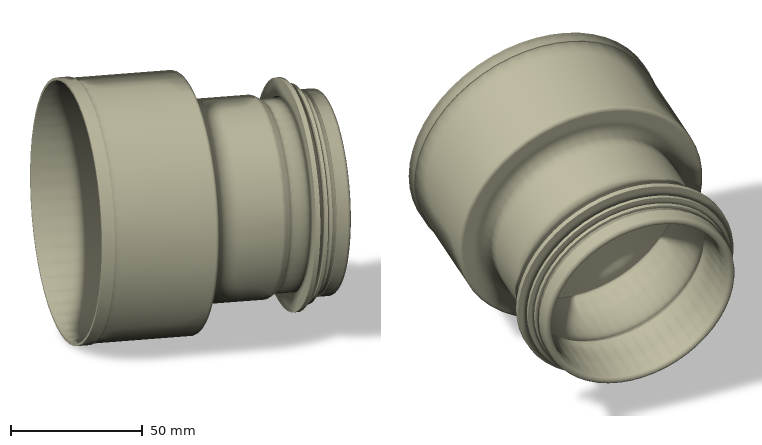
import cadquery as cq
import math

wall = 0.5
total_length = 101.5

collar_radius = 102.3 / 2
socket_radius = 101.2 / 2
pipe_radius = 78.0 / 2
neck_radius = 74.2 / 2
hem_radius = 79.1 / 2

collar_end = 5.0
shoulder_y = 46.4
neck_start = 78.4
hem_start = 95.5

taper_angle = 30
taper_length = (pipe_radius - neck_radius) / math.tan(math.radians(taper_angle))
taper_start = neck_start - taper_length

shoulder_fillet = 1.4
root_fillet = 3.6
taper_fillet = 2.2

fold_radius = (hem_radius - (neck_radius - wall)) / 2
fold_start = total_length - fold_radius

sleeve_radius = hem_radius - wall
sleeve_bore_radius = 75.5 / 2
gasket_start = 85.8
gasket_lips = [
    (89.5 / 2, gasket_start, 1.8),
    (84.5 / 2, 90.2, 1.2),
    (80.4 / 2, 92.3, 1.3),
]


def cylinder(radius, start, end):
    """Cylinder on the Y axis between two positions."""
    return cq.Workplane("XZ", origin=(0, start, 0)).circle(radius).extrude(start - end)


def fillet_circle(body, radius, y, fillet_radius):
    """Round the circular edge with the given radius at position y."""
    tolerance = 0.01
    box = cq.selectors.BoxSelector(
        (-radius - tolerance, y - tolerance, -radius - tolerance),
        (radius + tolerance, y + tolerance, radius + tolerance),
        boundingbox=True,
    )
    edge = body.edges(box).edges(cq.selectors.RadiusNthSelector(-1))
    return body.newObject(edge.vals()).fillet(fillet_radius)


def stepped_core(inset):
    """Solid of socket, shoulder, pipe, taper and neck, shrunk inward by inset."""
    shoulder = shoulder_y - inset
    taper_shift = inset * math.tan(math.radians(taper_angle / 2))
    socket = socket_radius - inset
    pipe = pipe_radius - inset
    neck = neck_radius - inset
    outline = [
        (0, 0),
        (socket, 0),
        (socket, shoulder),
        (pipe, shoulder),
        (pipe, taper_start - taper_shift),
        (neck, neck_start - taper_shift),
        (neck, fold_start),
        (0, fold_start),
    ]
    core = cq.Workplane("XY").polyline(outline).close().revolve(360, (0, 0, 0), (0, 1, 0))
    core = fillet_circle(core, socket, shoulder, shoulder_fillet - inset)
    core = fillet_circle(core, pipe, shoulder, root_fillet + inset)
    return fillet_circle(core, pipe, taper_start - taper_shift, taper_fillet - inset)


def make_hem():
    """Half-round fold at the neck end and the outer layer of the hem."""
    inside = hem_radius - wall
    bore = neck_radius - wall
    fold_center = bore + fold_radius
    section = (
        cq.Workplane("XY")
        .moveTo(hem_radius, hem_start)
        .lineTo(hem_radius, fold_start)
        .threePointArc((fold_center, total_length), (bore, fold_start))
        .lineTo(neck_radius, fold_start)
        .threePointArc((fold_center, total_length - wall), (inside, fold_start))
        .lineTo(inside, hem_start)
        .close()
    )
    return section.revolve(360, (0, 0, 0), (0, 1, 0))


def make_reducer():
    """Thin-walled reducer with a collar at the socket mouth and a hem at the neck end."""
    collar = cylinder(collar_radius, 0, collar_end)
    shell = stepped_core(0).union(collar).cut(stepped_core(wall))
    return shell.union(make_hem())


def make_gasket():
    """Ring gasket around the neck, one lip for each entry in gasket_lips."""
    gasket = cylinder(sleeve_radius, gasket_start, fold_start)
    for radius, start, thickness in gasket_lips:
        gasket = gasket.union(cylinder(radius, start, start + thickness))
    return gasket.cut(cylinder(sleeve_bore_radius, gasket_start, fold_start))


reducer = make_reducer()
gasket = make_gasket()

result = cq.Compound.makeCompound([reducer.solids().val(), gasket.solids().val()])